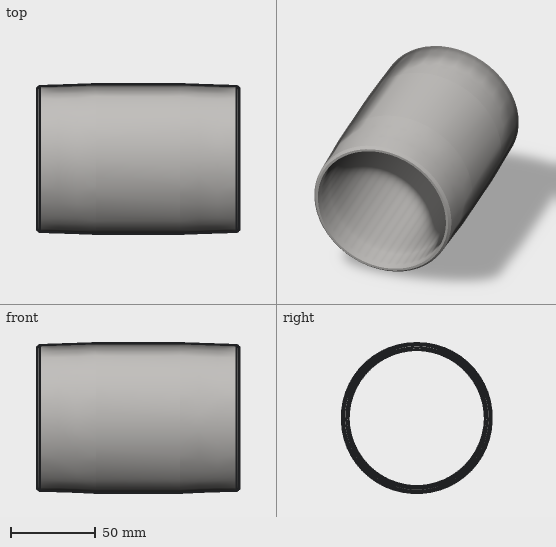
import cadquery as cq

length = 120.0
outer_diameter = 88.9
bore_diameter = 80.9
middle_length = 50.0
taper_end_radius = 43.3
bevel_length = 1.7
end_radius = 41.9

half_length = length / 2
half_middle = middle_length / 2
bevel_start = half_length - bevel_length
outer_radius = outer_diameter / 2
bore_radius = bore_diameter / 2


def revolved_wall():
    """Wall section on the +Z side, turned around the X axis."""
    section = (
        cq.Workplane("XZ")
        .moveTo(-half_length, bore_radius)
        .lineTo(-half_length, end_radius)
        .lineTo(-bevel_start, taper_end_radius)
        .lineTo(-half_middle, outer_radius)
        .lineTo(half_middle, outer_radius)
        .lineTo(bevel_start, taper_end_radius)
        .lineTo(half_length, end_radius)
        .lineTo(half_length, bore_radius)
        .close()
    )
    return section.revolve(360, (0, 0, 0), (1, 0, 0))


result = revolved_wall()